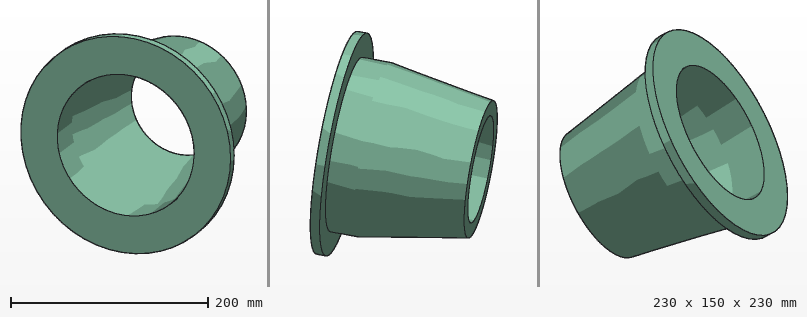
import cadquery as cq

flange_diameter = 230.0
flange_thickness = 10.0
total_length = 150.0
collar_diameter = 180.0
collar_length = 30.0
tip_diameter = 142.0
bore_diameter = 150.0
tip_bore_diameter = 110.5

cone_start = flange_thickness + collar_length


def revolved_body():
    """Revolve the half section of the flange, collar and hollow cone."""
    section = [
        (bore_diameter / 2, 0),
        (flange_diameter / 2, 0),
        (flange_diameter / 2, flange_thickness),
        (collar_diameter / 2, flange_thickness),
        (collar_diameter / 2, cone_start),
        (tip_diameter / 2, total_length),
        (tip_bore_diameter / 2, total_length),
        (bore_diameter / 2, cone_start),
    ]
    profile = cq.Workplane("XY").polyline(section).close()
    return profile.revolve(360, (0, 0, 0), (0, 1, 0))


result = revolved_body()